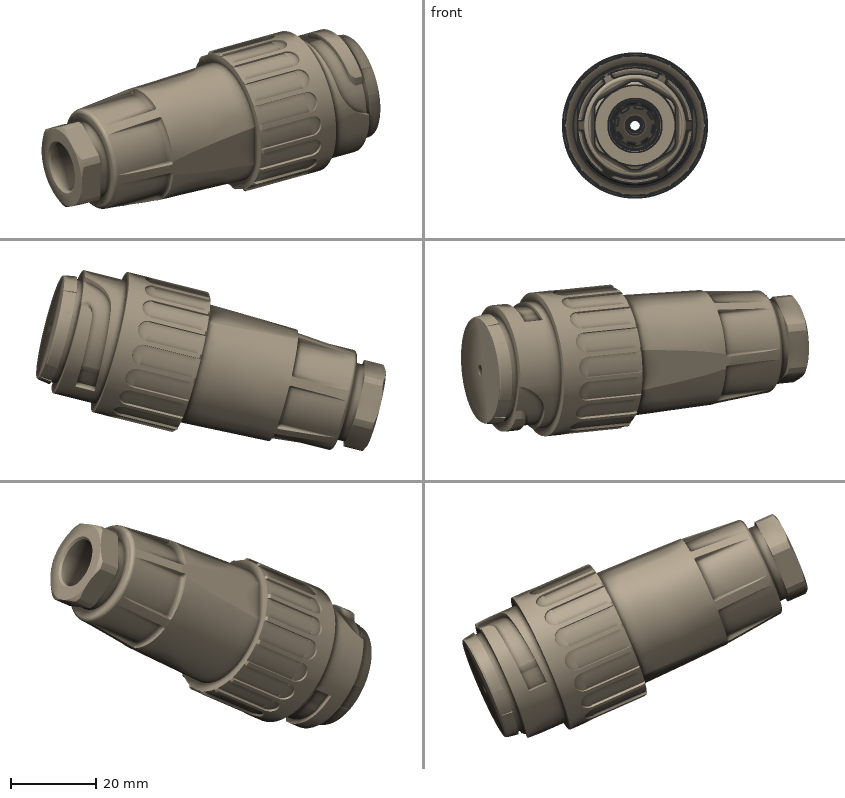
import cadquery as cq
import math


LENGTH = 79.3

NUT_HEX_LENGTH = 5.15
NUT_FLAT_RADIUS = 9.47
NUT_CORNER_RADIUS = 10.5
NUT_CHAMFER_ANGLE = 30.0
NUT_SIDES = 6
HALF_HEX_PITCH = 180 / NUT_SIDES
NUT_SHANK_RADIUS = 18.6 / 2
NUT_BORE_RADIUS = 5.9
NUT_BORE_CHAMFER = 0.5
NUT_END = 10.3

CAGE_RADIUS = 13.5 / 2
CAGE_LENGTH = 6.35
CAGE_MOUTH_RADIUS = 11.0 / 2
CAGE_BORE_RADIUS = 9.7 / 2
CAGE_CONE_LENGTH = 2.4
CAGE_SLOTS = 8
CAGE_SLOT_WIDTH = 0.95
CAGE_FIRST_SLOT_ANGLE = 11.5
CAGE_START = NUT_END
CAGE_END = CAGE_START + CAGE_LENGTH
SEAL_LENGTH = 6.35
SEAL_MOUTH_RADIUS = 4.4 / 2
SEAL_HOLE_RADIUS = 3.3 / 2
SEAL_CONE_LENGTH = 0.8
SEAL_NOTCH_WIDTH = 1.9
SEAL_NOTCH_DEPTH = 1.6
SEAL_NOTCH_INNER_RADIUS = 4.05
SEAL_START = CAGE_END
SEAL_END = SEAL_START + SEAL_LENGTH

BODY_START = 7.5
BODY_SHOULDER = 22.5
BODY_NOSE_RADIUS = 12.1
BODY_FACE_RADIUS = 11.0
BODY_NOSE_ARC_RADIUS = 11.7
BODY_NOSE_ARC_Y = 7.7
BODY_NOSE_START = 8.3
BODY_SHOULDER_FILLET = 0.95
BODY_SHOULDER_RADIUS = 13.55
BODY_LARGE_RADIUS = 14.35
BODY_FLAT_OFFSET = 13.44
JOURNAL_RADIUS = 14.5
JOURNAL_END = 61.8
RIBS = 6
RIB_WIDTH = 2.2
RIB_FILLET = 0.5

RING_START = 44.7
RING_STEP = 64.7
RING_END = 74.85
RING_RADIUS = 34.0 / 2
RING_CHAMFER = 0.4
SLEEVE_RADIUS = 14.945
FLUTES = 18
FLUTE_WIDTH = 4.9
FLUTE_FLOOR_WIDTH = 4.75
FLUTE_FLOOR_RADIUS = 16.4
FLUTE_END = 60.8

BAYONET_SLOTS = 2
SLOT_SECTIONS = 9
SLOT_STOP_ANGLE = -30.3
SLOT_MOUTH_ANGLE = 50.9
SLOT_MOUTH_END_ANGLE = 87.5
SLOT_STOP_LOW = 66.35
SLOT_STOP_HIGH = 71.0
SLOT_MOUTH_LOW = 67.7
SLOT_MOUTH_HIGH = 71.9
SLOT_LIP_ROUNDING = 1.75
SLOT_ENTRY_FLOOR_RADIUS = 13.6
SLOT_TOP_FLOOR_RADIUS = 14.0
SLOT_POCKET_FLOOR_RADIUS = 13.6
DETENT_POCKET_ANGLE = -12.8
DETENT_CREST_ANGLE = -10.7
DETENT_CREST_RADIUS = 13.8
DETENT_BULGE_RADIUS = 13.95
DETENT_BULGE_ANGLE = -8.3
DETENT_TOP_ANGLE = -5.8

INSERT_STEM_RADIUS = 11.06
INSERT_RADIUS = 12.49
INSERT_HOLE_RADIUS = 2.6 / 2
COLLAR_START = 76.3
COLLAR_BACK_RADIUS = 12.8
LUGS = 4
LUG_START_ANGLE = -19.7
LUG_END_ANGLE = 42.3
LUG_BACK_RADIUS = 13.1
LUG_FRONT_RADIUS = 12.645
LUG_CHAMFER = 0.3

CLEARANCE = 4.0


def turned(profile):
    """Solid of revolution about Y from (radius, y) points."""
    return cq.Workplane("XY").polyline(profile).close().revolve(360, (0, 0, 0), (0, 1, 0))


def rod(radius, start, end):
    """Cylinder on the Y axis."""
    return turned([(0, start), (radius, start), (radius, end), (0, end)])


def around(shape, angle):
    """Shape turned about the Y axis."""
    return shape.rotate((0, 0, 0), (0, 1, 0), angle)


def block(x_size, start, end, z_low, z_high):
    """Box centred on X, spanning the given Y and Z ranges."""
    return cq.Workplane("XY").box(x_size, end - start, z_high - z_low).translate(
        (0, (start + end) / 2, (z_low + z_high) / 2)
    )


def sector(radius, start, end, angle_from, angle_to):
    """Pie slice about the Y axis, less than half a turn."""
    reach = radius / math.cos(math.radians(angle_to - angle_from) / 2)
    corners = [
        (reach * math.sin(math.radians(a)), start, reach * math.cos(math.radians(a)))
        for a in (angle_from, (angle_from + angle_to) / 2, angle_to)
    ]
    outline = cq.Wire.makePolygon([cq.Vector(0, start, 0)] + [cq.Vector(*c) for c in corners], close=True)
    return cq.Workplane(obj=cq.Solid.extrudeLinear(outline, [], cq.Vector(0, end - start, 0)))


def make_nut():
    corner_chamfer = (NUT_CORNER_RADIUS - NUT_FLAT_RADIUS) * math.tan(math.radians(NUT_CHAMFER_ANGLE))
    hexagon = (
        cq.Workplane("XZ")
        .polygon(NUT_SIDES, 2 * NUT_FLAT_RADIUS / math.cos(math.radians(HALF_HEX_PITCH)))
        .extrude(-NUT_HEX_LENGTH)
    )
    hexagon = around(hexagon, HALF_HEX_PITCH)
    rounding = turned([
        (0, 0),
        (NUT_FLAT_RADIUS, 0),
        (NUT_CORNER_RADIUS, corner_chamfer),
        (NUT_CORNER_RADIUS, NUT_HEX_LENGTH),
        (0, NUT_HEX_LENGTH),
    ])
    bore = turned([
        (0, 0),
        (NUT_BORE_RADIUS + NUT_BORE_CHAMFER, 0),
        (NUT_BORE_RADIUS, NUT_BORE_CHAMFER),
        (NUT_BORE_RADIUS, NUT_END),
        (0, NUT_END),
    ])
    shank = rod(NUT_SHANK_RADIUS, NUT_HEX_LENGTH, NUT_END)
    return hexagon.intersect(rounding).union(shank).cut(bore)


def make_cage():
    cage = turned([
        (CAGE_MOUTH_RADIUS, CAGE_START),
        (CAGE_RADIUS, CAGE_START),
        (CAGE_RADIUS, CAGE_END),
        (CAGE_BORE_RADIUS, CAGE_END),
        (CAGE_BORE_RADIUS, CAGE_START + CAGE_CONE_LENGTH),
    ])
    slot = block(CAGE_SLOT_WIDTH, CAGE_START, CAGE_START + CAGE_CONE_LENGTH, 0, CAGE_MOUTH_RADIUS)
    for i in range(CAGE_SLOTS):
        cage = cage.cut(around(slot, CAGE_FIRST_SLOT_ANGLE + i * 360 / CAGE_SLOTS))
    return cage


def make_seal():
    seal = turned([
        (SEAL_MOUTH_RADIUS, SEAL_START),
        (CAGE_RADIUS, SEAL_START),
        (CAGE_RADIUS, SEAL_END),
        (SEAL_HOLE_RADIUS, SEAL_END),
        (SEAL_HOLE_RADIUS, SEAL_START + SEAL_CONE_LENGTH),
    ])
    notch = (
        cq.Workplane("YZ")
        .polyline([
            (SEAL_START, SEAL_NOTCH_INNER_RADIUS),
            (SEAL_START, CAGE_BORE_RADIUS),
            (SEAL_START + SEAL_NOTCH_DEPTH, CAGE_BORE_RADIUS),
        ])
        .close()
        .extrude(SEAL_NOTCH_WIDTH / 2, both=True)
    )
    for i in range(CAGE_SLOTS):
        seal = seal.cut(around(notch, CAGE_FIRST_SLOT_ANGLE + i * 360 / CAGE_SLOTS))
    return seal


def make_nose_pocket():
    """Space between two neighbouring ribs, rounded along its foot; it is centred on +Z."""
    pocket = turned([
        (BODY_NOSE_RADIUS, BODY_START),
        (BODY_LARGE_RADIUS, BODY_START),
        (BODY_LARGE_RADIUS, BODY_SHOULDER),
        (BODY_NOSE_RADIUS, BODY_SHOULDER),
    ])
    half_pitch = 180 / RIBS
    pocket = pocket.intersect(sector(BODY_LARGE_RADIUS, BODY_START, BODY_SHOULDER, -half_pitch, half_pitch))
    rib = block(RIB_WIDTH, BODY_START, BODY_SHOULDER, 0, BODY_LARGE_RADIUS + CLEARANCE)
    for side in (-half_pitch, half_pitch):
        pocket = pocket.cut(around(rib, side))
    pocket = pocket.edges(cq.NearestToPointSelector((0, BODY_SHOULDER, BODY_NOSE_RADIUS)))
    pocket = pocket.fillet(BODY_SHOULDER_FILLET)
    foot_angle = math.radians(half_pitch) - math.asin(RIB_WIDTH / 2 / BODY_NOSE_RADIUS)
    middle = (BODY_START + BODY_SHOULDER - BODY_SHOULDER_FILLET) / 2
    for side in (-1, 1):
        foot = (
            side * BODY_NOSE_RADIUS * math.sin(foot_angle),
            middle,
            BODY_NOSE_RADIUS * math.cos(foot_angle),
        )
        pocket = pocket.edges(cq.NearestToPointSelector(foot)).fillet(RIB_FILLET)
    return pocket


def make_body():
    body = (
        cq.Workplane("XY")
        .moveTo(0, BODY_START)
        .lineTo(BODY_FACE_RADIUS, BODY_START)
        .threePointArc((BODY_NOSE_ARC_RADIUS, BODY_NOSE_ARC_Y), (BODY_NOSE_RADIUS, BODY_NOSE_START))
        .lineTo(BODY_SHOULDER_RADIUS, BODY_SHOULDER)
        .lineTo(BODY_LARGE_RADIUS, RING_START)
        .lineTo(0, RING_START)
        .close()
        .revolve(360, (0, 0, 0), (0, 1, 0))
    )
    for i in range(RIBS):
        body = body.cut(around(make_nose_pocket(), i * 360 / RIBS))
    flat_top = BODY_LARGE_RADIUS + CLEARANCE
    flat = block(2 * BODY_LARGE_RADIUS, BODY_START, RING_START, BODY_FLAT_OFFSET, flat_top)
    for side in (90, -90):
        body = body.cut(around(flat, side))
    body = body.union(rod(JOURNAL_RADIUS, RING_START, JOURNAL_END))
    return (
        body.cut(rod(NUT_SHANK_RADIUS, BODY_START, NUT_END))
        .cut(rod(CAGE_RADIUS, NUT_END, SEAL_END))
        .cut(rod(INSERT_STEM_RADIUS, SEAL_END, JOURNAL_END))
    )


def make_flute():
    """Round-ended groove with sloping sides at the top of the ring.

    The floor of the straight part follows the ring's curvature and the floor of the round end is flat.
    """
    round_centre = FLUTE_END - FLUTE_WIDTH / 2
    slope = (FLUTE_WIDTH - FLUTE_FLOOR_WIDTH) / 2 / (RING_RADIUS - FLUTE_FLOOR_RADIUS)
    top = RING_RADIUS + CLEARANCE
    bottom = FLUTE_FLOOR_RADIUS - CLEARANCE

    def half_width(height):
        return FLUTE_FLOOR_WIDTH / 2 + slope * (height - FLUTE_FLOOR_RADIUS)

    straight = (
        cq.Workplane("XZ", origin=(0, RING_START, 0))
        .polyline([
            (-half_width(bottom), bottom),
            (half_width(bottom), bottom),
            (half_width(top), top),
            (-half_width(top), top),
        ])
        .close()
        .extrude(RING_START - round_centre)
        .cut(rod(FLUTE_FLOOR_RADIUS, RING_START, round_centre))
    )
    end = (
        cq.Workplane("XY", origin=(0, round_centre, FLUTE_FLOOR_RADIUS))
        .circle(FLUTE_FLOOR_WIDTH / 2)
        .extrude(CLEARANCE, taper=-math.degrees(math.atan(slope)))
    )
    return straight.union(end)


def slot_edges(angle):
    """Low and high Y of the slot's helical run at an angle."""
    t = (angle - SLOT_STOP_ANGLE) / (SLOT_MOUTH_ANGLE - SLOT_STOP_ANGLE)
    low = SLOT_STOP_LOW + t * (SLOT_MOUTH_LOW - SLOT_STOP_LOW)
    high = SLOT_STOP_HIGH + t * (SLOT_MOUTH_HIGH - SLOT_STOP_HIGH)
    return low, high


def slot_section(angle, low, high):
    """Radial rectangle across the bayonet slot."""
    across = (math.sin(math.radians(angle)), math.cos(math.radians(angle)))
    radii = (INSERT_RADIUS, SLEEVE_RADIUS + CLEARANCE)
    corners = [(radii[0], low), (radii[1], low), (radii[1], high), (radii[0], high)]
    return cq.Wire.makePolygon([cq.Vector(r * across[0], y, r * across[1]) for r, y in corners], close=True)


def slot_channel():
    """Slightly helical run from the stop to the mouth."""
    sections = []
    for i in range(SLOT_SECTIONS):
        t = i / (SLOT_SECTIONS - 1)
        angle = SLOT_STOP_ANGLE + t * (SLOT_MOUTH_ANGLE - SLOT_STOP_ANGLE)
        sections.append(slot_section(angle, *slot_edges(angle)))
    return cq.Workplane(obj=cq.Solid.makeLoft(sections))


def slot_mouth():
    """Entry open to the end face, its low edge an arc on the unrolled sleeve."""
    sweep = math.radians(SLOT_MOUTH_END_ANGLE - SLOT_MOUTH_ANGLE) * SLEEVE_RADIUS
    rise = RING_END - SLOT_MOUTH_LOW
    arc_radius = (sweep**2 + rise**2) / (2 * rise)
    sections = []
    for i in range(SLOT_SECTIONS):
        t = i / (SLOT_SECTIONS - 1)
        low = SLOT_MOUTH_LOW + arc_radius - math.sqrt(arc_radius**2 - (t * sweep) ** 2)
        angle = SLOT_MOUTH_ANGLE + t * (SLOT_MOUTH_END_ANGLE - SLOT_MOUTH_ANGLE)
        sections.append(slot_section(angle, low, RING_END + CLEARANCE))
    return cq.Workplane(obj=cq.Solid.makeLoft(sections))


def round_lip(slot):
    """Give the corner between channel and mouth an upright wall with a rounded edge."""
    lip_x = SLEEVE_RADIUS * math.sin(math.radians(SLOT_MOUTH_ANGLE))
    corner_angle = math.degrees(math.asin((lip_x - SLOT_LIP_ROUNDING) / SLEEVE_RADIUS))
    lip_y = slot_edges(corner_angle)[1]
    top = RING_END + CLEARANCE
    corner = sector(SLEEVE_RADIUS + CLEARANCE, lip_y, top, corner_angle, SLOT_MOUTH_ANGLE)
    lip = (
        block(2 * lip_x, lip_y, top, 0, SLEEVE_RADIUS + 2 * CLEARANCE)
        .edges(cq.NearestToPointSelector((lip_x, lip_y, SLEEVE_RADIUS)))
        .fillet(SLOT_LIP_ROUNDING)
    )
    return slot.union(corner).cut(lip.cut(slot_channel()))


def slot_floor():
    """Core left under the slot: a rising floor, a rounded detent and the pocket behind it."""

    def at(radius, angle):
        return radius * math.sin(math.radians(angle)), radius * math.cos(math.radians(angle))

    pocket_far_angle = SLOT_STOP_ANGLE - 30
    entry_far_angle = 90
    middle_angle = (DETENT_TOP_ANGLE + entry_far_angle) / 2
    middle_radius = (SLOT_TOP_FLOOR_RADIUS + SLOT_ENTRY_FLOOR_RADIUS) / 2
    pocket_middle_angle = (pocket_far_angle + DETENT_POCKET_ANGLE) / 2
    return (
        cq.Workplane("XZ", origin=(0, RING_STEP, 0))
        .moveTo(0, 0)
        .lineTo(*at(SLOT_POCKET_FLOOR_RADIUS, pocket_far_angle))
        .threePointArc(
            at(SLOT_POCKET_FLOOR_RADIUS, pocket_middle_angle),
            at(SLOT_POCKET_FLOOR_RADIUS, DETENT_POCKET_ANGLE),
        )
        .lineTo(*at(DETENT_CREST_RADIUS, DETENT_CREST_ANGLE))
        .threePointArc(
            at(DETENT_BULGE_RADIUS, DETENT_BULGE_ANGLE),
            at(SLOT_TOP_FLOOR_RADIUS, DETENT_TOP_ANGLE),
        )
        .threePointArc(at(middle_radius, middle_angle), at(SLOT_ENTRY_FLOOR_RADIUS, entry_far_angle))
        .close()
        .extrude(RING_STEP - RING_END - CLEARANCE)
    )


def make_bayonet_slot():
    slot = slot_channel().union(slot_mouth())
    return round_lip(slot).cut(slot_floor())


def make_coupling_ring():
    ring = turned([
        (JOURNAL_RADIUS, RING_START),
        (RING_RADIUS - RING_CHAMFER, RING_START),
        (RING_RADIUS, RING_START + RING_CHAMFER),
        (RING_RADIUS, RING_STEP),
        (SLEEVE_RADIUS, RING_STEP),
        (SLEEVE_RADIUS, RING_END),
        (INSERT_RADIUS, RING_END),
        (INSERT_RADIUS, JOURNAL_END),
        (JOURNAL_RADIUS, JOURNAL_END),
    ])
    for i in range(FLUTES):
        ring = ring.cut(around(make_flute(), i * 360 / FLUTES))
    for i in range(BAYONET_SLOTS):
        ring = ring.cut(around(make_bayonet_slot(), i * 360 / BAYONET_SLOTS))
    return ring


def make_lug():
    """Raised sector of the insert's flared collar."""
    flare = turned([
        (0, COLLAR_START),
        (LUG_BACK_RADIUS, COLLAR_START),
        (LUG_FRONT_RADIUS, LENGTH - LUG_CHAMFER),
        (LUG_FRONT_RADIUS - LUG_CHAMFER, LENGTH),
        (0, LENGTH),
    ])
    return flare.intersect(sector(LUG_BACK_RADIUS, COLLAR_START, LENGTH, LUG_START_ANGLE, LUG_END_ANGLE))


def make_insert():
    insert = turned([
        (0, SEAL_END),
        (INSERT_STEM_RADIUS, SEAL_END),
        (INSERT_STEM_RADIUS, JOURNAL_END),
        (INSERT_RADIUS, JOURNAL_END),
        (INSERT_RADIUS, COLLAR_START),
        (COLLAR_BACK_RADIUS, COLLAR_START),
        (INSERT_RADIUS, LENGTH),
        (0, LENGTH),
    ])
    for i in range(LUGS):
        insert = insert.union(around(make_lug(), i * 360 / LUGS))
    return insert.cut(rod(INSERT_HOLE_RADIUS, SEAL_END, LENGTH))


nut = make_nut()
cage = make_cage()
seal = make_seal()
body = make_body()
coupling_ring = make_coupling_ring()
insert = make_insert()

result = cq.Compound.makeCompound([
    nut.val(),
    cage.val(),
    seal.val(),
    body.val(),
    coupling_ring.val(),
    insert.val(),
])